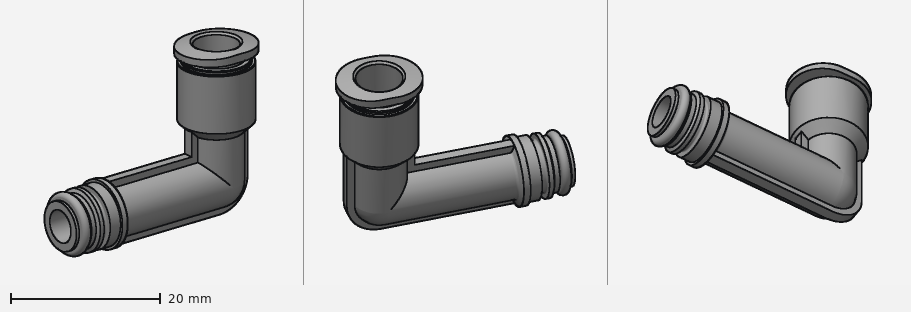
import cadquery as cq
import math


PIPE_RADIUS = 7.55 / 2
BORE_RADIUS = 3.6 / 2
RIB_REACH = 9.55 / 2
RIB_WIDTH = 1.5

SOCKET_RADIUS = 10.55 / 2
SOCKET_CONE_HEIGHT = SOCKET_RADIUS - PIPE_RADIUS
SOCKET_BOTTOM = 8.83
SOCKET_TOP = 17.2
SOCKET_EDGE_CHAMFER = 0.1
RIM_RADIUS = 9.55 / 2
RIM_TOP = 17.65
RIM_CHAMFER = 0.15
TUBE_RADIUS = 6.35 / 2

COLLAR_TOP = 20.0
COLLAR_BOTTOM = 18.55
COLLAR_WIDTH = 9.75
COLLAR_FLAT = 2.0
COLLAR_LENGTH = COLLAR_WIDTH + COLLAR_FLAT
COLLAR_SLOPE = math.radians(10)
MOUTH_RADIUS = 7.0 / 2
MOUTH_CHAMFER = MOUTH_RADIUS - TUBE_RADIUS
SLEEVE_RADIUS = 7.75 / 2
SLEEVE_FILLET = 0.35

OVERALL_LENGTH = 32.3
PLUG_END = OVERALL_LENGTH - COLLAR_LENGTH / 2
FLARE_FILLET = 0.4
FLARE_ANGLE = math.radians(65)
FLANGE_START = 18.77
FLANGE_END = 19.7
FLANGE_RADIUS = 9.75 / 2
LAND_RADIUS = 8.93 / 2
LAND_END = 21.45
CLIP_GROOVE_RADIUS = 7.15 / 2
CLIP_GROOVE_END = 22.48
CLIP_GROOVE_FILLET = 0.25
BEAD_END = 23.13
BEAD_CONE_END = 23.4
SHOULDER_RADIUS = 7.8 / 2
SHOULDER_END = 24.15
SEAL_GROOVE_RADIUS = 5.65 / 2
SEAL_GROOVE_END = 25.95
TIP_RADIUS = 7.0 / 2
ENTRY_RADIUS = 4.6 / 2

SEAL_CENTER = 25.06
SEAL_WIDTH = 1.3
SEAL_RADIUS = 8.9 / 2
SEAL_FACE_RADIUS = 7.75 / 2


def turned(points):
    """Revolve a (radius, height) outline around the Z axis."""
    return cq.Workplane("XZ").polyline(points).close().revolve(360, (0, 0), (0, 1))


def toward_plug(body):
    """Swing a body built along +Z so that it lies along -Y."""
    return body.rotate((0, 0, 0), (1, 0, 0), 90)


def elbow_pipe():
    """Two straight pipes joined by a ball at the bend."""
    upright = cq.Workplane("XY").circle(PIPE_RADIUS).extrude(SOCKET_BOTTOM)
    level = toward_plug(cq.Workplane("XY").circle(PIPE_RADIUS).extrude(FLANGE_START))
    corner = cq.Workplane("XY").sphere(PIPE_RADIUS)
    return upright.union(level).union(corner)


def rib():
    """Flat web on the bend plane, rounded about the origin on the outside of the elbow."""
    diagonal = RIB_REACH * math.sqrt(0.5)
    return (
        cq.Workplane("YZ")
        .moveTo(RIB_REACH, SOCKET_BOTTOM)
        .lineTo(RIB_REACH, 0)
        .threePointArc((diagonal, -diagonal), (0, -RIB_REACH))
        .lineTo(-FLANGE_START, -RIB_REACH)
        .lineTo(-FLANGE_START, RIB_REACH)
        .lineTo(-RIB_REACH, RIB_REACH)
        .lineTo(-RIB_REACH, SOCKET_BOTTOM)
        .close()
        .extrude(RIB_WIDTH / 2, both=True)
    )


def socket():
    """Socket body with its lower cone and rim, and the sleeve that flares out under the collar."""
    cone_bottom = SOCKET_BOTTOM - SOCKET_CONE_HEIGHT
    return (
        cq.Workplane("XZ")
        .moveTo(0, cone_bottom)
        .lineTo(PIPE_RADIUS, cone_bottom)
        .lineTo(SOCKET_RADIUS, SOCKET_BOTTOM)
        .lineTo(SOCKET_RADIUS, SOCKET_TOP - SOCKET_EDGE_CHAMFER)
        .lineTo(SOCKET_RADIUS - SOCKET_EDGE_CHAMFER, SOCKET_TOP)
        .lineTo(RIM_RADIUS, SOCKET_TOP)
        .lineTo(RIM_RADIUS, RIM_TOP - RIM_CHAMFER)
        .lineTo(RIM_RADIUS - RIM_CHAMFER, RIM_TOP)
        .lineTo(SLEEVE_RADIUS, RIM_TOP)
        .lineTo(SLEEVE_RADIUS, COLLAR_BOTTOM - SLEEVE_FILLET)
        .tangentArcPoint((SLEEVE_RADIUS + SLEEVE_FILLET, COLLAR_BOTTOM), relative=False)
        .lineTo(0, COLLAR_BOTTOM)
        .close()
        .revolve(360, (0, 0), (0, 1))
    )


def collar():
    """Stadium plate, long along Y, trimmed on top by a shallow cone."""
    plate = (
        cq.Workplane("XY", origin=(0, 0, COLLAR_BOTTOM))
        .slot2D(COLLAR_LENGTH, COLLAR_WIDTH, 90)
        .extrude(COLLAR_TOP - COLLAR_BOTTOM)
    )
    cone_radius = COLLAR_LENGTH
    cone_drop = (cone_radius - MOUTH_RADIUS) * math.tan(COLLAR_SLOPE)
    cone = turned([
        (0, COLLAR_BOTTOM - cone_drop),
        (cone_radius, COLLAR_BOTTOM - cone_drop),
        (cone_radius, COLLAR_TOP - cone_drop),
        (MOUTH_RADIUS, COLLAR_TOP),
        (0, COLLAR_TOP),
    ])
    return plate.intersect(cone)


def plug():
    """Stepped end piece, with fillets at the flare foot and in the clip groove corners."""
    flare_foot_radius = PIPE_RADIUS + FLARE_FILLET * (1 - math.cos(FLARE_ANGLE))
    flare_foot_end = FLANGE_START - (RIB_REACH - flare_foot_radius) / math.tan(FLARE_ANGLE)
    flare_start = flare_foot_end - FLARE_FILLET * math.sin(FLARE_ANGLE)
    clip_corner_radius = CLIP_GROOVE_RADIUS + CLIP_GROOVE_FILLET
    body = (
        cq.Workplane("XZ")
        .moveTo(0, flare_start - FLARE_FILLET)
        .lineTo(PIPE_RADIUS, flare_start - FLARE_FILLET)
        .lineTo(PIPE_RADIUS, flare_start)
        .tangentArcPoint((flare_foot_radius, flare_foot_end), relative=False)
        .lineTo(RIB_REACH, FLANGE_START)
        .lineTo(FLANGE_RADIUS, FLANGE_START)
        .lineTo(FLANGE_RADIUS, FLANGE_END)
        .lineTo(LAND_RADIUS, FLANGE_END)
        .lineTo(LAND_RADIUS, LAND_END)
        .lineTo(clip_corner_radius, LAND_END)
        .tangentArcPoint((CLIP_GROOVE_RADIUS, LAND_END + CLIP_GROOVE_FILLET), relative=False)
        .lineTo(CLIP_GROOVE_RADIUS, CLIP_GROOVE_END - CLIP_GROOVE_FILLET)
        .tangentArcPoint((clip_corner_radius, CLIP_GROOVE_END), relative=False)
        .lineTo(LAND_RADIUS, CLIP_GROOVE_END)
        .lineTo(LAND_RADIUS, BEAD_END)
        .lineTo(SHOULDER_RADIUS, BEAD_CONE_END)
        .lineTo(SHOULDER_RADIUS, SHOULDER_END)
        .lineTo(SEAL_GROOVE_RADIUS, SHOULDER_END)
        .lineTo(SEAL_GROOVE_RADIUS, SEAL_GROOVE_END)
        .lineTo(TIP_RADIUS, SEAL_GROOVE_END)
        .lineTo(TIP_RADIUS, PLUG_END)
        .lineTo(0, PLUG_END)
        .close()
        .revolve(360, (0, 0), (0, 1))
    )
    return toward_plug(body.union(seal_ring()))


def seal_ring():
    """Ring seated on the groove floor, with a round outer edge."""
    rear = SEAL_CENTER - SEAL_WIDTH / 2
    front = SEAL_CENTER + SEAL_WIDTH / 2
    return (
        cq.Workplane("XZ")
        .moveTo(0, rear)
        .lineTo(SEAL_FACE_RADIUS, rear)
        .threePointArc((SEAL_RADIUS, SEAL_CENTER), (SEAL_FACE_RADIUS, front))
        .lineTo(0, front)
        .close()
        .revolve(360, (0, 0), (0, 1))
    )


def bores():
    """Bent flow passage, tube socket with chamfered mouth, and wider plug entry."""
    upright = turned([
        (0, 0),
        (BORE_RADIUS, 0),
        (BORE_RADIUS, SOCKET_BOTTOM),
        (TUBE_RADIUS, SOCKET_BOTTOM),
        (TUBE_RADIUS, COLLAR_TOP - MOUTH_CHAMFER),
        (MOUTH_RADIUS, COLLAR_TOP),
        (0, COLLAR_TOP),
    ])
    level = turned([
        (0, 0),
        (BORE_RADIUS, 0),
        (BORE_RADIUS, FLANGE_START - (ENTRY_RADIUS - BORE_RADIUS)),
        (ENTRY_RADIUS, FLANGE_START),
        (ENTRY_RADIUS, PLUG_END),
        (0, PLUG_END),
    ])
    corner = cq.Workplane("XY").sphere(BORE_RADIUS)
    return upright.union(toward_plug(level)).union(corner)


solid_elbow = elbow_pipe().union(rib()).union(socket()).union(collar()).union(plug())
result = solid_elbow.cut(bores())